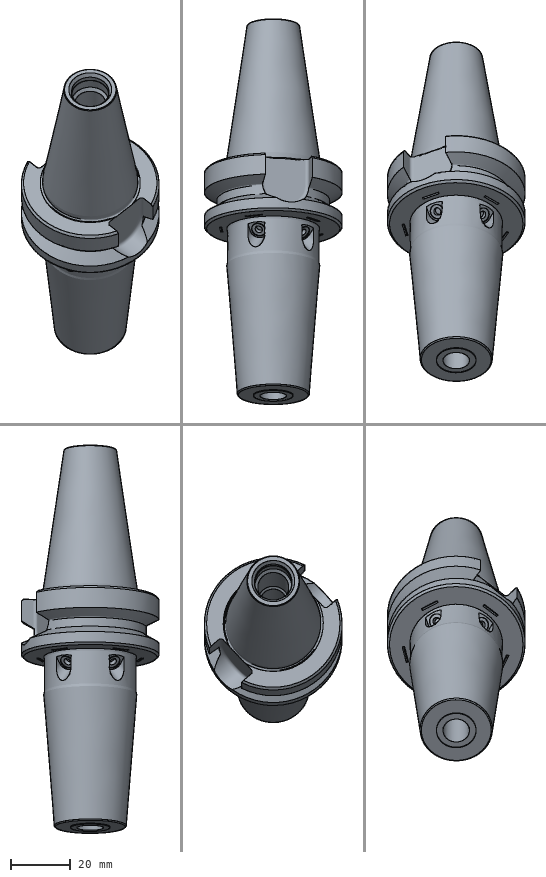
import cadquery as cq
import math


cut_overrun = 1.0

gauge_diameter = 31.75
gauge_radius = gauge_diameter / 2
taper_ratio = 7 / 24
taper_length = 48.4
taper_end_radius = gauge_radius - taper_length * taper_ratio / 2
taper_end_chamfer = 0.25

flange_radius = 23.0
flange_top_z = -2.0
flange_bottom_z = -22.0
flange_edge_chamfer = 0.75
flange_root_fillet = 0.5
face_recess_radius = 16.7
face_recess_depth = 0.2
groove_floor_radius = 18.85
groove_center_z = -13.6
groove_floor_half_width = 1.7
groove_wall_angle = 30.0
groove_wall_slope = math.tan(math.radians(groove_wall_angle))
groove_depth = flange_radius - groove_floor_radius
groove_mouth_half_width = groove_floor_half_width + groove_depth * groove_wall_slope
groove_root_fillet = 0.35

keyway_count = 2
keyway_radius = 8.05
keyway_center_z = -11.0
keyway_floor_x = 16.25
keyway_floor_fillet = 1.15

neck_radius = 15.35
neck_flare = 0.15
neck_flare_end_z = -22.8
neck_bottom_z = -34.0
body_top_z = -34.9
body_top_radius = 15.55
body_bottom_radius = 12.05
body_end_z = -80.0
body_end_chamfer = 0.4
end_land_radius = 6.6
end_land_height = 0.3

mouth_radius = 7.15
relief_radius = 6.25
relief_top_depth = 1.25
relief_bottom_depth = 2.9
pilot_radius = 6.15
pilot_bottom_depth = 6.5
thread_radius = 5.15
thread_bottom_depth = 24.0
bore_radius = 4.4
thread_top_depth = pilot_bottom_depth + pilot_radius - thread_radius
bore_top_depth = thread_bottom_depth + thread_radius - bore_radius

pocket_count = 5
pocket_width = 6.0
pocket_slant = 45.0
pocket_floor_radius = 13.15
pocket_floor_z = -25.85
pocket_cutter_length = 12.0
screw_recess_diameter = 4.8
screw_recess_depth = 0.35
screw_socket_diameter = 2.5
screw_socket_depth = 2.0


def revolve_outline(outline):
    """Revolve a closed (radius, z) outline about the Z axis."""
    return cq.Workplane("XZ").polyline(outline).close().revolve(360, (0, 0), (0, 1))


def box_around(radius, z, margin):
    """Selector for edges lying within a radius, close to one height."""
    return cq.selectors.BoxSelector(
        (-radius, -radius, z - margin), (radius, radius, z + margin), boundingbox=True
    )


def fillet_ring(body, ring_radius, ring_z, fillet_radius):
    """Round the circular edge of the given radius and height."""
    margin = 0.05
    within = box_around(ring_radius + margin, ring_z, margin)
    smaller = box_around(ring_radius - margin, ring_z, margin)
    return body.edges(within - smaller).fillet(fillet_radius)


def make_outer_body():
    """Taper, flange, neck and chuck body as one turned solid."""
    land_z = body_end_z + end_land_height
    face_recess_z = flange_top_z - face_recess_depth
    outline = [
        (0, taper_length),
        (taper_end_radius - taper_end_chamfer, taper_length),
        (taper_end_radius, taper_length - taper_end_chamfer),
        (gauge_radius, 0),
        (gauge_radius, face_recess_z),
        (face_recess_radius, face_recess_z),
        (face_recess_radius, flange_top_z),
        (flange_radius - flange_edge_chamfer, flange_top_z),
        (flange_radius, flange_top_z - flange_edge_chamfer),
        (flange_radius, groove_center_z + groove_mouth_half_width),
        (groove_floor_radius, groove_center_z + groove_floor_half_width),
        (groove_floor_radius, groove_center_z - groove_floor_half_width),
        (flange_radius, groove_center_z - groove_mouth_half_width),
        (flange_radius, flange_bottom_z + flange_edge_chamfer),
        (flange_radius - flange_edge_chamfer, flange_bottom_z),
        (neck_radius + neck_flare, flange_bottom_z),
        (neck_radius, neck_flare_end_z),
        (neck_radius, neck_bottom_z),
        (body_top_radius, body_top_z),
        (body_bottom_radius, land_z + body_end_chamfer),
        (body_bottom_radius - body_end_chamfer, land_z),
        (end_land_radius, land_z),
        (end_land_radius, body_end_z),
        (0, body_end_z),
    ]
    body = revolve_outline(outline)
    body = fillet_ring(body, gauge_radius, face_recess_z, flange_root_fillet)
    for floor_edge_z in (
        groove_center_z + groove_floor_half_width,
        groove_center_z - groove_floor_half_width,
    ):
        body = fillet_ring(body, groove_floor_radius, floor_edge_z, groove_root_fillet)
    return body


def make_bore():
    """Stepped bore through the whole length."""
    outline = [
        (0, taper_length),
        (mouth_radius, taper_length),
        (relief_radius, taper_length - relief_top_depth),
        (relief_radius, taper_length - relief_bottom_depth),
        (pilot_radius, taper_length - relief_bottom_depth),
        (pilot_radius, taper_length - pilot_bottom_depth),
        (thread_radius, taper_length - thread_top_depth),
        (thread_radius, taper_length - thread_bottom_depth),
        (bore_radius, taper_length - bore_top_depth),
        (bore_radius, body_end_z),
        (0, body_end_z),
    ]
    return revolve_outline(outline)


def make_keyway():
    """Round-bottomed key slot on the +X side, with a filleted floor edge."""
    depth = flange_radius - keyway_floor_x + cut_overrun
    straight_height = flange_top_z - keyway_center_z + keyway_floor_fillet + cut_overrun
    slot = (
        cq.Workplane("YZ", origin=(keyway_floor_x, 0, keyway_center_z))
        .moveTo(-keyway_radius, 0)
        .lineTo(-keyway_radius, straight_height)
        .lineTo(keyway_radius, straight_height)
        .lineTo(keyway_radius, 0)
        .threePointArc((0, -keyway_radius), (-keyway_radius, 0))
        .close()
        .extrude(depth)
    )
    return slot.faces("<X").edges().fillet(keyway_floor_fillet)


def make_screw_pocket():
    """U-shaped slanted pocket at the +X side, with the recessed screw in its floor."""
    slant = math.radians(pocket_slant)
    floor = cq.Plane(
        origin=(pocket_floor_radius, 0, pocket_floor_z),
        xDir=(0, 1, 0),
        normal=(math.cos(slant), 0, -math.sin(slant)),
    )
    half = pocket_width / 2
    pocket = (
        cq.Workplane(floor)
        .moveTo(-half, pocket_width)
        .lineTo(-half, 0)
        .threePointArc((0, -half), (half, 0))
        .lineTo(half, pocket_width)
        .close()
        .extrude(pocket_cutter_length)
    )
    recess = cq.Workplane(floor).circle(screw_recess_diameter / 2).extrude(-screw_recess_depth)
    socket = cq.Workplane(floor).circle(screw_socket_diameter / 2).extrude(-screw_socket_depth)
    return pocket.union(recess).union(socket)


def cut_around_axis(body, cutter, count):
    """Cut equally spaced copies of a cutter, the first one on the +X side."""
    for index in range(count):
        body = body.cut(cutter.rotate((0, 0, 0), (0, 0, 1), index * 360 / count))
    return body


result = make_outer_body().cut(make_bore())
result = cut_around_axis(result, make_keyway(), keyway_count)
result = cut_around_axis(result, make_screw_pocket(), pocket_count)